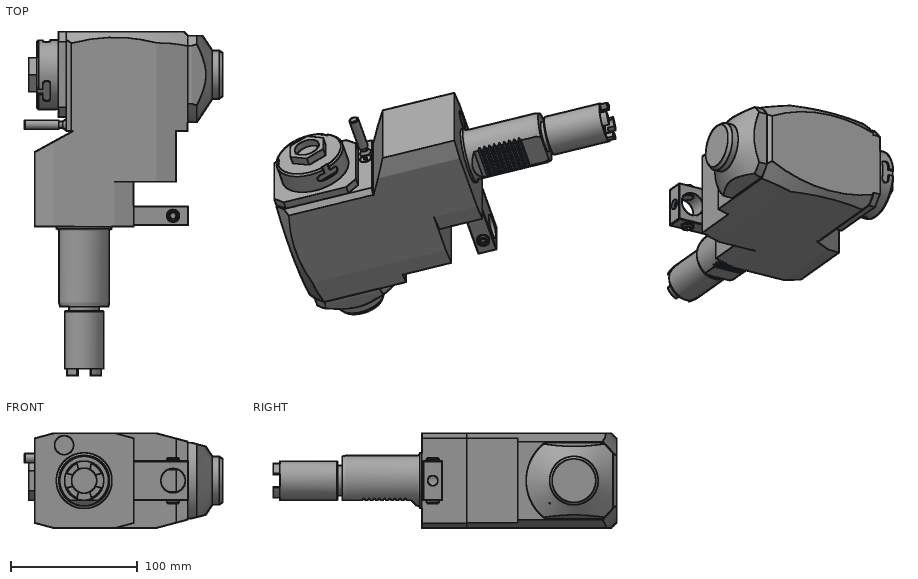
import cadquery as cq
import math

OVERALL_WIDTH = 156.83
OVERALL_LENGTH = 271.55
HALF_HEIGHT = 37.5
BACK_Y = 154.0
SPINDLE_Y = 120.0

FOOT_HALF_WIDTH = 39.0
FOOT_RIDGE = 24.0
FOOT_TOP_Y = 35.4
STEP_X = 72.6
STEP_Y = 75.5
HEAD_LEFT_X = -14.2
HEAD_RIGHT_X = 81.7
SHOULDER_LOW_Y = 59.0
SHOULDER_TOP_X = -9.0
HEAD_RIDGE = 57.0
HEAD_LEFT_CHAMFER = 4.2
REAR_CORNER_CHAMFER = 2.8
FLANK_SLOPE = math.tan(math.radians(15))

BEVEL_AXIS_X = 24.0
BEVEL_AXIS_Z = 86.5
BEVEL_RADIUS = 119.5

PLATE_LEFT_X = -20.3
PLATE_FRONT_Y = 86.6
PLATE_HALF_HEIGHT = 33.0
PLATE_CORNER = 7.9
RING_LEFT_X = -37.4
RING_RADIUS = 27.5
RING_CHAMFER = 1.5
RING_SLOT_ANGLES = (0, 120, 240)
RING_SLOT_DEPTH = 2.5
RING_SLOT_X = -29.6
RING_SLOT_WIDTH = 6.0
RING_SLOT_LENGTH = 18.5
RING_CHANNEL_WIDTH = 5.3
HEX_LEFT_X = -43.9
HEX_ACROSS_FLATS = 27.0
HEX_BORE_RADIUS = 9.9
HEX_BORE_DEPTH = 6.0

FLANGE_RADIUS = 37.7
FLANGE_STEP_X = 85.1
FLANGE_END_X = 89.0
FLANGE_BACK_Y = 150.8
CONE_END_X = 101.3
NOSE_RADIUS = 19.2
NOSE_END_X = 109.5
NOSE_CHAMFER_LENGTH = 3.0
NOSE_CHAMFER_DEPTH = 2.0

PIN_END_X = NOSE_END_X - OVERALL_WIDTH
PIN_Y = 80.5
PIN_Z = 17.8
PIN_RADIUS = 3.75
PIN_INNER_X = -20.0
PIN_CHAMFER = 0.8
PIN_NECK_RADIUS = 2.6
PIN_BASE_X = -17.0
PIN_BASE_RADIUS = 4.5
PIN_SCREW_Z = 10.0
PIN_SCREW_RADIUS = 4.6
PIN_SCREW_CENTER_RADIUS = 1.5
RECESS_DEPTH = 0.5

COLLAR_RADIUS = 22.0
COLLAR_Y = -1.8
SHANK_RADIUS = 20.0
SHANK_END_Y = -63.0
SHANK_CHAMFER_LENGTH = 3.2
SHANK_CHAMFER_DEPTH = 0.8
COLLAR_FILLET = 1.5
NECK_RADIUS = 12.0
NECK_END_Y = -66.3
DRIVE_RADIUS = 15.5
DRIVE_CHAMFER = 0.8
CLAW_START_Y = -112.2
CLAW_RADIUS = 14.8
CLAW_BORE_RADIUS = 9.9
CLAW_BORE_END_Y = -110.2
CLAW_SLOT_OUTER_WIDTH = 12.2
CLAW_SLOT_INNER_WIDTH = 9.4
SHAFT_END_Y = BACK_Y - OVERALL_LENGTH

FLAT_Z = -15.6
FLAT_START_Y = -8.4
SERRATION_COUNT = 9
SERRATION_PITCH = 4.08
SERRATION_DEPTH = 1.5
SERRATION_HALF_WIDTH = 1.3
SERRATION_FIRST_Y = -13.2

BAR_END_X = 82.3
BAR_FRONT_Y = 1.0
BAR_BACK_Y = 16.2
BAR_MIDDLE_Y = (BAR_FRONT_Y + BAR_BACK_Y) / 2
BAR_HALF_HEIGHT = 15.6
BAR_EDGE_CHAMFER = 0.5
BAR_HOLE_X = 70.2
BAR_HOLE_RADIUS = 9.6
BAR_END_HOLE_RADIUS = 4.0
BAR_SCREW_RADIUS = 5.0
BAR_SCREW_TOP = 18.2
BAR_SCREW_TIP = 8.6
BAR_SCREW_CHAMFER = 1.2
BAR_SOCKET_ACROSS_CORNERS = 5.5
BAR_SOCKET_DEPTH = 4.0

PLUG_X = -15.8
PLUG_Z = 28.0
PLUG_RADIUS = 7.5


def rod_x(x_start, x_end, radius, y, z=0.0):
    """Cylinder along X."""
    return cq.Workplane("YZ", origin=(x_start, y, z)).circle(radius).extrude(x_end - x_start)


def rod_y(y_start, y_end, radius, x=0.0, z=0.0):
    """Cylinder along -Y, from y_start down to y_end."""
    return cq.Workplane("XZ", origin=(x, y_start, z)).circle(radius).extrude(y_start - y_end)


def block(x0, x1, y0, y1, z0, z1):
    """Box between opposite corners."""
    return cq.Workplane("XY").box(x1 - x0, y1 - y0, z1 - z0, centered=False).translate((x0, y0, z0))


def along_y(points, y_start, y_end):
    """Prism along Y with an outline of (X, Z) points."""
    return cq.Workplane("XZ", origin=(0, y_end, 0)).polyline(points).close().extrude(y_end - y_start)


def symmetric_section(upper_points):
    """Close an upper (X, Z) outline with its mirror image below Z = 0."""
    return upper_points + [(x, -z) for x, z in reversed(upper_points)]


def make_foot():
    """Lower block with 15 degree flanks on both sides and the sloped left shoulder."""
    edge_z = HALF_HEIGHT - (FOOT_HALF_WIDTH - FOOT_RIDGE) * FLANK_SLOPE
    left = [(-FOOT_HALF_WIDTH, edge_z), (-FOOT_RIDGE, HALF_HEIGHT)]
    right = [(FOOT_RIDGE, HALF_HEIGHT), (FOOT_HALF_WIDTH, edge_z)]
    lower = along_y(symmetric_section(left + right), 0, FOOT_TOP_Y)
    upper_left = left + [(0, HALF_HEIGHT)]
    upper = along_y(symmetric_section(upper_left), FOOT_TOP_Y, STEP_Y)
    above_shoulder = (
        cq.Workplane("XY", origin=(0, 0, -HALF_HEIGHT))
        .moveTo(-FOOT_HALF_WIDTH, SHOULDER_LOW_Y)
        .lineTo(SHOULDER_TOP_X, STEP_Y)
        .lineTo(-FOOT_HALF_WIDTH, STEP_Y)
        .close()
        .extrude(2 * HALF_HEIGHT)
    )
    return lower.union(upper.cut(above_shoulder))


def make_head_block():
    """Upper housing block, before its flanks and rear bevels are cut."""
    outline = [
        (SHOULDER_TOP_X, FOOT_TOP_Y),
        (STEP_X, FOOT_TOP_Y),
        (STEP_X, STEP_Y),
        (HEAD_RIGHT_X, STEP_Y),
        (HEAD_RIGHT_X, BACK_Y - REAR_CORNER_CHAMFER),
        (HEAD_RIGHT_X - REAR_CORNER_CHAMFER, BACK_Y),
        (HEAD_LEFT_X, BACK_Y),
        (HEAD_LEFT_X, STEP_Y),
        (SHOULDER_TOP_X, STEP_Y),
    ]
    return (
        cq.Workplane("XY", origin=(0, 0, -HALF_HEIGHT))
        .polyline(outline).close().extrude(2 * HALF_HEIGHT)
    )


def make_flange():
    """Spindle flange with a flat at the rear, cone and nose, before the flanks are cut."""
    flange_profile = [
        (HEAD_RIGHT_X, 0),
        (HEAD_RIGHT_X, FLANGE_RADIUS),
        (FLANGE_END_X, FLANGE_RADIUS),
        (CONE_END_X, NOSE_RADIUS),
        (NOSE_END_X - NOSE_CHAMFER_LENGTH, NOSE_RADIUS),
        (NOSE_END_X, NOSE_RADIUS - NOSE_CHAMFER_DEPTH),
        (NOSE_END_X, 0),
    ]
    flange = (
        cq.Workplane("XY").polyline(flange_profile).close()
        .revolve(360, (0, 0, 0), (1, 0, 0))
        .translate((0, SPINDLE_Y, 0))
    )
    behind_flat = block(
        HEAD_RIGHT_X, NOSE_END_X,
        FLANGE_BACK_Y, SPINDLE_Y + FLANGE_RADIUS,
        -FLANGE_RADIUS, FLANGE_RADIUS,
    )
    return flange.cut(behind_flat)


def flank_z(x):
    """Height of the 15 degree right flank of the head at a given X."""
    return HALF_HEIGHT - (x - HEAD_RIDGE) * FLANK_SLOPE


def make_flank_envelope():
    """Prism that bounds the head: left chamfers, 15 degree right flanks and a small flange step."""
    upper = [
        (HEAD_LEFT_X, HALF_HEIGHT - HEAD_LEFT_CHAMFER),
        (HEAD_LEFT_X + HEAD_LEFT_CHAMFER, HALF_HEIGHT),
        (HEAD_RIDGE, HALF_HEIGHT),
        (HEAD_RIGHT_X, flank_z(HEAD_RIGHT_X)),
        (HEAD_RIGHT_X, flank_z(FLANGE_STEP_X)),
        (FLANGE_STEP_X, flank_z(FLANGE_STEP_X)),
        (NOSE_END_X, flank_z(NOSE_END_X)),
    ]
    return along_y(symmetric_section(upper), 0, BACK_Y)


def make_bevel_cone(side):
    """45 degree cone whose surface bevels the rear edge on the given Z side."""
    profile = [(0, 0), (BEVEL_RADIUS + BACK_Y, 0), (BEVEL_RADIUS, BACK_Y), (0, BACK_Y)]
    return (
        cq.Workplane("XY").polyline(profile).close()
        .revolve(360, (0, 0, 0), (0, 1, 0))
        .translate((BEVEL_AXIS_X, 0, -side * BEVEL_AXIS_Z))
    )


def make_plate():
    """Octagonal plate on the left head face."""
    plate = block(
        PLATE_LEFT_X, HEAD_LEFT_X,
        PLATE_FRONT_Y, BACK_Y,
        -PLATE_HALF_HEIGHT, PLATE_HALF_HEIGHT,
    )
    return plate.edges("|X").chamfer(PLATE_CORNER)


def make_pin_screw_recess():
    """Ring-shaped recess of the flush screw beside the pin."""
    floor_x = HEAD_LEFT_X + RECESS_DEPTH
    outer = rod_x(HEAD_LEFT_X, floor_x, PIN_SCREW_RADIUS, PIN_Y, PIN_SCREW_Z)
    return outer.cut(rod_x(HEAD_LEFT_X, floor_x, PIN_SCREW_CENTER_RADIUS, PIN_Y, PIN_SCREW_Z))


def make_ring_slot(angle):
    """Keyhole-like spanner slot with a channel to the ring face."""
    floor_z = RING_RADIUS - RING_SLOT_DEPTH
    height = 2 * RING_SLOT_DEPTH
    slot = (
        cq.Workplane("XY", origin=(RING_SLOT_X, 0, floor_z))
        .slot2D(RING_SLOT_LENGTH, RING_SLOT_WIDTH, 90).extrude(height)
    )
    half_channel = RING_CHANNEL_WIDTH / 2
    channel = block(RING_LEFT_X, RING_SLOT_X, -half_channel, half_channel, floor_z, floor_z + height)
    return (
        slot.union(channel)
        .rotate((0, 0, 0), (1, 0, 0), angle - 90)
        .translate((0, SPINDLE_Y, 0))
    )


def make_clamping_nut():
    """Slotted ring with a bored hexagon in front."""
    ring = rod_x(RING_LEFT_X, PLATE_LEFT_X, RING_RADIUS, SPINDLE_Y).faces("<X").chamfer(RING_CHAMFER)
    for angle in RING_SLOT_ANGLES:
        ring = ring.cut(make_ring_slot(angle))
    across_corners = HEX_ACROSS_FLATS / math.cos(math.radians(30))
    hexagon = (
        cq.Workplane("YZ").polygon(6, across_corners).extrude(RING_LEFT_X - HEX_LEFT_X)
        .rotate((0, 0, 0), (1, 0, 0), 90)
        .translate((HEX_LEFT_X, SPINDLE_Y, 0))
    )
    bore = rod_x(HEX_LEFT_X, HEX_LEFT_X + HEX_BORE_DEPTH, HEX_BORE_RADIUS, SPINDLE_Y)
    return ring.union(hexagon).cut(bore)


def make_pin():
    """Stepped pin with a conical base on the left head face."""
    profile = [
        (HEAD_LEFT_X, 0),
        (HEAD_LEFT_X, PIN_BASE_RADIUS),
        (PIN_BASE_X, PIN_NECK_RADIUS),
        (PIN_INNER_X, PIN_NECK_RADIUS),
        (PIN_INNER_X, PIN_RADIUS),
        (PIN_END_X + PIN_CHAMFER, PIN_RADIUS),
        (PIN_END_X, PIN_RADIUS - PIN_CHAMFER),
        (PIN_END_X, 0),
    ]
    return (
        cq.Workplane("XY").polyline(profile).close()
        .revolve(360, (0, 0, 0), (1, 0, 0))
        .translate((0, PIN_Y, PIN_Z))
    )


def make_shank():
    """Collar, clamping shank, neck and drive end, turned about the Y axis."""
    profile = [
        (0, 0),
        (COLLAR_RADIUS, 0),
        (COLLAR_RADIUS, COLLAR_Y),
        (SHANK_RADIUS, COLLAR_Y),
        (SHANK_RADIUS, SHANK_END_Y + SHANK_CHAMFER_LENGTH),
        (SHANK_RADIUS - SHANK_CHAMFER_DEPTH, SHANK_END_Y),
        (NECK_RADIUS, SHANK_END_Y),
        (NECK_RADIUS, NECK_END_Y),
        (DRIVE_RADIUS - DRIVE_CHAMFER, NECK_END_Y),
        (DRIVE_RADIUS, NECK_END_Y - DRIVE_CHAMFER),
        (DRIVE_RADIUS, CLAW_START_Y),
        (CLAW_RADIUS, CLAW_START_Y),
        (CLAW_RADIUS, SHAFT_END_Y),
        (0, SHAFT_END_Y),
    ]
    turned = cq.Workplane("XY").polyline(profile).close().revolve(360, (0, 0, 0), (0, 1, 0))
    shank_edges = cq.selectors.RadiusNthSelector(-2)
    return turned.edges(shank_edges).edges(">Y").fillet(COLLAR_FILLET)


def make_claw_cutter():
    """Bore and four slots, narrowing inwards, that leave four drive claws."""
    cutter = rod_y(CLAW_BORE_END_Y, SHAFT_END_Y, CLAW_BORE_RADIUS)
    half_outer = CLAW_SLOT_OUTER_WIDTH / 2
    half_inner = CLAW_SLOT_INNER_WIDTH / 2
    slot_outline = [
        (0, half_inner),
        (CLAW_BORE_RADIUS, half_inner),
        (CLAW_RADIUS, half_outer),
        (CLAW_RADIUS, -half_outer),
        (CLAW_BORE_RADIUS, -half_inner),
        (0, -half_inner),
    ]
    slot = along_y(slot_outline, CLAW_START_Y, SHAFT_END_Y)
    for angle in (0, 90, 180, 270):
        cutter = cutter.union(slot.rotate((0, 0, 0), (0, 1, 0), angle))
    return cutter


def make_flat_cutter():
    """Clamping flat with a 45 degree run-out and a row of V serrations."""
    bottom_z = -COLLAR_RADIUS
    outline = [
        (FLAT_START_Y, FLAT_Z),
        (FLAT_START_Y + FLAT_Z - bottom_z, bottom_z),
        (SHANK_END_Y, bottom_z),
        (SHANK_END_Y, FLAT_Z),
    ]
    section = cq.Workplane("YZ", origin=(-SHANK_RADIUS, 0, 0))
    cutter = section.polyline(outline).close().extrude(2 * SHANK_RADIUS)
    for index in range(SERRATION_COUNT):
        y = SERRATION_FIRST_Y - index * SERRATION_PITCH
        groove = [
            (y - SERRATION_HALF_WIDTH, FLAT_Z),
            (y, FLAT_Z + SERRATION_DEPTH),
            (y + SERRATION_HALF_WIDTH, FLAT_Z),
        ]
        cutter = cutter.union(section.polyline(groove).close().extrude(2 * SHANK_RADIUS))
    return cutter


def make_bar_screw(side):
    """Socket set screw that reaches from outside the bar into its hole."""
    screw = (
        cq.Workplane("XY", origin=(0, 0, BAR_SCREW_TIP))
        .circle(BAR_SCREW_RADIUS).extrude(BAR_SCREW_TOP - BAR_SCREW_TIP)
        .faces(">Z").chamfer(BAR_SCREW_CHAMFER)
        .faces(">Z").workplane().polygon(6, BAR_SOCKET_ACROSS_CORNERS).cutBlind(-BAR_SOCKET_DEPTH)
    )
    if side < 0:
        screw = screw.mirror("XY")
    return screw.translate((BAR_HOLE_X, BAR_MIDDLE_Y, 0))


def make_bar():
    """Side bar with a cross hole, an end hole and two set screws."""
    bar = block(FOOT_HALF_WIDTH, BAR_END_X, BAR_FRONT_Y, BAR_BACK_Y, -BAR_HALF_HEIGHT, BAR_HALF_HEIGHT)
    bar = bar.edges("|X or >X").chamfer(BAR_EDGE_CHAMFER)
    bar = bar.cut(rod_y(BAR_BACK_Y, BAR_FRONT_Y, BAR_HOLE_RADIUS, BAR_HOLE_X))
    bar = bar.cut(rod_x(BAR_HOLE_X, BAR_END_X, BAR_END_HOLE_RADIUS, BAR_MIDDLE_Y))
    return bar.union(make_bar_screw(1)).union(make_bar_screw(-1))


envelope = make_flank_envelope()
head = make_head_block().intersect(envelope).union(make_plate())
for z_side in (1, -1):
    head = head.intersect(make_bevel_cone(z_side))
head = head.union(make_flange().intersect(envelope))

plug_recess = rod_y(RECESS_DEPTH, 0, PLUG_RADIUS, PLUG_X, PLUG_Z)

housing = make_foot().union(head).cut(make_pin_screw_recess()).cut(plug_recess)
shank = make_shank().cut(make_claw_cutter()).cut(make_flat_cutter())

result = housing.union(make_clamping_nut()).union(make_pin()).union(shank).union(make_bar())